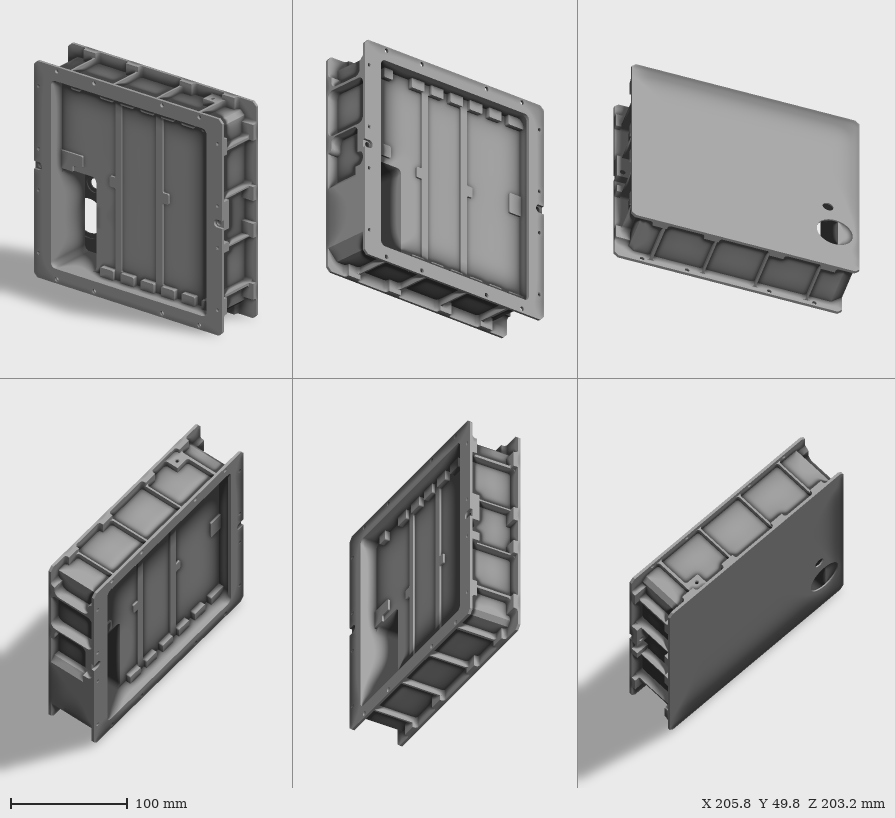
import cadquery as cq

WIDTH = 205.77
DEPTH = 49.78
HEIGHT = 203.2
HALF_W = WIDTH / 2
HALF_D = DEPTH / 2
HALF_H = HEIGHT / 2

FLANGE_T = 2.54
FLANGE_CORNER = 3.8
INNER_Y = HALF_D - FLANGE_T
WEB_R = 2.54

CORE_LEFT = -92.3
CORE_RIGHT = 90.0
CORE_HALF_H = 90.6
CORE_RIGHT_CHAMFER = 4.1
LEFT_WALL_BOTTOM_CHAMFER = 10.0
WEB_HALF_H = 96.9
RIGHT_WEB_X = 98.0

TOP_WEBS = [(-71.4, -69.7), (-24.7, -22.9), (22.3, 24.0), (68.9, 71.4)]

TAB_Y = 18.2
TAB_WIDTH = 13.2
TAB_CENTRES_X = [-76.2, -29.7, 28.9, 75.5]

WEB_UPPER = (67.2, 69.6)
WEB_LOWER = (22.4, 23.9)
REAR_TAB_END = 82.0
REAR_TAB_INNER_END = 10.7
BOSS_Y = -18.2
BOSS_DEEP_Y = -15.7
BOSS_TOP = 82.5
MID_BOSS_BOTTOM = -2.9
LOWER_STEP_Z = -15.7
LOWER_STEP_Y = -12.6
POCKET_R = 5.6

LEDGE_Z = -19.6
LEDGE_CHAMFER = 5.1

OPENING_X = (-84.3, 85.8)
OPENING_HALF_H = 88.1
OPENING_R = 4.8
CAVITY_RIGHT_R = 7.62
CAVITY_DEPTH = 15.75
OPENING_LIP = 3.3
CAVITY_UNDERCUT = 3.2
FLOOR_Y = -HALF_D + CAVITY_DEPTH

RAISED_H = 2.0
PAD_R = 1.2
LEFT_BAR_X = (-24.7, -18.2)
RIGHT_BAR_X = (19.7, 27.0)
LEFT_BAR_BLOCK = 0
RIGHT_BAR_BLOCK = 2
BUMP_Z = (-2.1, 7.7)
BUMP_LENGTH = 6.2
RIGHT_PAD_X = (75.8, CORE_RIGHT)
RIGHT_PAD_Z = (-2.1, 16.5)
LEFT_PAD_X = -60.8
LEFT_PAD_STEP_X = -71.5
LEFT_PAD_Z = (6.2, 17.3)

BLOCK_H = 5.08
BLOCK_Z = (79.1, CORE_HALF_H)
BLOCK_FIRST_X = -39.1
BLOCK_PITCH = 22.22
BLOCK_WIDTH = 14.2
BLOCK_COUNT = 6
EXTRA_BLOCK_X = (-70.5, -60.8)

BAY_RIGHT = -47.1
BAY_TOP = 0.5
PORT_X, PORT_Z = -80.5, -55.8
PORT_D, PORT_SEAT_D = 32.4, 40.64
SMALL_PORT_X, SMALL_PORT_Z = -74.4, -23.8
SMALL_PORT_D, SMALL_PORT_SEAT_D = 9.65, 16.26
SEAT_DEPTH = FLANGE_T / 2

END_HOLE_D = 4.12
END_HOLE_XS = (37.1, 77.9)
END_HOLE_Z = 97.7
SIDE_HOLE_D = 2.77
SIDE_HOLE_MOUTH_D = 3.42
SIDE_HOLE_MOUTH_DEPTH = 0.5
SIDE_HOLE_DEPTH = 6.35
SIDE_HOLE_X = 97.8
SIDE_HOLE_ZS = (19.6, 78.1)
SLOT_Z = 3.2
SLOT_W = 7.4
SLOT_X = 97.6
SLOT_HOLE_D = 5.16

TOP_BLOCK_X = (55.1, 69.7)
TOP_BLOCK_Y = 9.3
TOP_HOLE_X, TOP_HOLE_Y = 61.2, 14.6
TOP_HOLE_DEPTH = 6.35
TOP_HOLE_MOUTH_D = 4.17


def box(x, y, z):
    """Box given by its (low, high) limits along each axis."""
    size = [high - low for low, high in (x, y, z)]
    return cq.Workplane("XY").box(*size, centered=False).translate((x[0], y[0], z[0]))


def mirror_z(body):
    """The body together with its mirror image below the middle plane."""
    return body.union(body.mirror("XY"))


def drill(diameter, x, z, y_front, y_back):
    """Round cutter along Y."""
    return (
        cq.Workplane("XZ", origin=(x, y_front, z))
        .circle(diameter / 2)
        .extrude(y_front - y_back)
    )


def flange(y_front):
    plate = box((-HALF_W, HALF_W), (y_front, y_front + FLANGE_T), (-HALF_H, HALF_H))
    return plate.edges("|Y").chamfer(FLANGE_CORNER)


def core():
    """Centre block, chamfered along its right side, with the thick left wall."""
    centre = box((CORE_LEFT, CORE_RIGHT), (-INNER_Y, INNER_Y), (-CORE_HALF_H, CORE_HALF_H))
    centre = centre.edges("|Y and >X").chamfer(CORE_RIGHT_CHAMFER)
    wall = box((-HALF_W, CORE_LEFT), (-INNER_Y, INNER_Y), (-CORE_HALF_H, CORE_HALF_H))
    wall = wall.edges("|Y and <X and <Z").chamfer(LEFT_WALL_BOTTOM_CHAMFER)
    return centre.union(wall)


def end_recess_body():
    """Webs, rear tabs and their fillets in the recess above the core."""
    start = CORE_HALF_H
    body = None
    for low, high in TOP_WEBS:
        web = box((low, high), (-INNER_Y, INNER_Y), (start, WEB_HALF_H))
        body = web if body is None else body.union(web)
        for corner_x, away in ((low, -1), (high, 1)):
            body = body.union(corner_fillet(corner_x, -INNER_Y, away, 1, WEB_HALF_H))
    for centre in TAB_CENTRES_X:
        low = centre - TAB_WIDTH / 2
        high = centre + TAB_WIDTH / 2
        body = body.union(box((low, high), (TAB_Y, INNER_Y), (start, HALF_H)))
        body = body.union(corner_fillet(low, INNER_Y, -1, -1, HALF_H))
        body = body.union(corner_fillet(high, INNER_Y, 1, -1, HALF_H))
    for (low, high), centre in zip(TOP_WEBS, TAB_CENTRES_X):
        if low - (centre - TAB_WIDTH / 2) > WEB_R:
            body = body.union(corner_fillet(low, TAB_Y, -1, -1, WEB_HALF_H))
        if centre + TAB_WIDTH / 2 - high > WEB_R:
            body = body.union(corner_fillet(high, TAB_Y, 1, -1, WEB_HALF_H))
    return body


def corner_fillet(x, y, x_sign, y_sign, top):
    """Concave vertical fillet filling the corner at (x, y), from the core up to top."""
    block_x = sorted((x, x + x_sign * WEB_R))
    block_y = sorted((y, y + y_sign * WEB_R))
    block = box(block_x, block_y, (CORE_HALF_H, top))
    cutter = (
        cq.Workplane("XY", origin=(x + x_sign * WEB_R, y + y_sign * WEB_R, CORE_HALF_H))
        .circle(WEB_R)
        .extrude(top - CORE_HALF_H)
    )
    return block.cut(cutter)


def top_hole_block():
    block = box(TOP_BLOCK_X, (TOP_BLOCK_Y, INNER_Y), (CORE_HALF_H, WEB_HALF_H))
    right_web_face = TOP_WEBS[-1][0]
    block = block.union(corner_fillet(right_web_face, TOP_BLOCK_Y, -1, -1, WEB_HALF_H))
    return block.union(corner_fillet(TOP_BLOCK_X[0], INNER_Y, -1, -1, WEB_HALF_H))


def top_hole():
    hole = (
        cq.Workplane("XY", origin=(TOP_HOLE_X, TOP_HOLE_Y, WEB_HALF_H))
        .circle(SIDE_HOLE_D / 2)
        .extrude(-TOP_HOLE_DEPTH)
    )
    mouth_depth = (TOP_HOLE_MOUTH_D - SIDE_HOLE_D) / 2
    mouth = (
        cq.Workplane("XY", origin=(TOP_HOLE_X, TOP_HOLE_Y, WEB_HALF_H))
        .circle(TOP_HOLE_MOUTH_D / 2)
        .workplane(offset=-mouth_depth)
        .circle(SIDE_HOLE_D / 2)
        .loft()
    )
    return hole.union(mouth)


def left_pocket(y, z):
    """Rectangular cutter, rounded in its corners, from the left side to the core."""
    return box((-HALF_W, CORE_LEFT), y, z).edges("|X").fillet(POCKET_R)


def left_upper_pocket():
    """Pocket open at the top, narrowed by the rear tab and the front boss."""
    narrow = left_pocket((BOSS_Y, TAB_Y), (WEB_UPPER[1], HALF_H))
    tab_step = INNER_Y - TAB_Y
    mouth = (
        cq.Workplane("YZ", origin=(-HALF_W, 0, 0))
        .moveTo(-INNER_Y, HALF_H)
        .lineTo(-INNER_Y, BOSS_TOP + INNER_Y + BOSS_Y)
        .lineTo(BOSS_Y, BOSS_TOP)
        .lineTo(TAB_Y, BOSS_TOP)
        .lineTo(TAB_Y, REAR_TAB_END - tab_step / 2)
        .radiusArc((INNER_Y, REAR_TAB_END + tab_step / 2), -tab_step)
        .lineTo(INNER_Y, HALF_H)
        .close()
        .extrude(CORE_LEFT + HALF_W)
    )
    return narrow.union(mouth)


def left_lower_pocket():
    """Pocket round the middle boss, ending below in a ledge with a sloping front."""
    upper = left_pocket((BOSS_DEEP_Y, TAB_Y), (LEDGE_Z, WEB_LOWER[0]))
    upper = upper.intersect(box((-HALF_W, CORE_LEFT), (-INNER_Y, INNER_Y), (LOWER_STEP_Z, HALF_H)))
    bulge = left_pocket((-INNER_Y, TAB_Y), (LOWER_STEP_Z, MID_BOSS_BOTTOM))
    tab_step = INNER_Y - TAB_Y
    rear = (
        cq.Workplane("YZ", origin=(-HALF_W, 0, 0))
        .moveTo(LOWER_STEP_Y, LEDGE_Z)
        .lineTo(INNER_Y, LEDGE_Z)
        .lineTo(INNER_Y, REAR_TAB_INNER_END - tab_step / 2)
        .radiusArc((TAB_Y, REAR_TAB_INNER_END + tab_step / 2), tab_step)
        .lineTo(LOWER_STEP_Y, REAR_TAB_INNER_END + tab_step / 2)
        .close()
        .extrude(CORE_LEFT + HALF_W)
    )
    slope = (
        cq.Workplane("XZ", origin=(0, INNER_Y, 0))
        .moveTo(-HALF_W, LEDGE_Z)
        .lineTo(-HALF_W + LEDGE_CHAMFER, LEDGE_Z)
        .lineTo(-HALF_W, LEDGE_Z - LEDGE_CHAMFER)
        .close()
        .extrude(INNER_Y - LOWER_STEP_Y)
    )
    return upper.union(bulge).union(rear).union(slope)


def left_pockets():
    middle = left_pocket((-INNER_Y, INNER_Y), (WEB_LOWER[1], WEB_UPPER[0]))
    return left_upper_pocket().union(middle).union(left_lower_pocket())


def side_fillet(y, z, y_sign, z_sign, x_end):
    """Concave fillet along X filling the corner at (y, z), from the core out to x_end."""
    block_y = sorted((y, y + y_sign * WEB_R))
    block_z = sorted((z, z + z_sign * WEB_R))
    block = box((CORE_RIGHT, x_end), block_y, block_z)
    cutter = (
        cq.Workplane("YZ", origin=(CORE_RIGHT, y + y_sign * WEB_R, z + z_sign * WEB_R))
        .circle(WEB_R)
        .extrude(x_end - CORE_RIGHT)
    )
    return block.cut(cutter)


def right_side_body():
    """Webs on the right side, with the rear tabs and front bosses next to them."""
    outer = (CORE_RIGHT, HALF_W)
    rear_y = (TAB_Y, INNER_Y)
    body = box(outer, rear_y, (WEB_UPPER[0], REAR_TAB_END))
    body = body.union(box(outer, rear_y, (REAR_TAB_INNER_END, WEB_LOWER[1])))
    body = body.union(box(outer, (-INNER_Y, BOSS_Y), (WEB_UPPER[0], BOSS_TOP)))
    for span in (WEB_UPPER, WEB_LOWER):
        body = body.union(box((CORE_RIGHT, RIGHT_WEB_X), (-INNER_Y, INNER_Y), span))
    body = body.union(side_fillet(INNER_Y, REAR_TAB_END, -1, 1, HALF_W))
    body = body.union(side_fillet(-INNER_Y, BOSS_TOP, 1, 1, HALF_W))
    body = body.union(side_fillet(TAB_Y, WEB_UPPER[1], -1, 1, RIGHT_WEB_X))
    body = body.union(side_fillet(BOSS_Y, WEB_UPPER[1], 1, 1, RIGHT_WEB_X))
    for y, inward in ((-INNER_Y, 1), (INNER_Y, -1)):
        body = body.union(side_fillet(y, WEB_UPPER[0], inward, -1, RIGHT_WEB_X))
        body = body.union(side_fillet(y, WEB_LOWER[1], inward, 1, RIGHT_WEB_X))
    front_boss = box(outer, (-INNER_Y, BOSS_DEEP_Y), (-LOWER_STEP_Z, WEB_LOWER[1]))
    body = mirror_z(body.union(front_boss))
    return body.union(box(outer, (-INNER_Y, BOSS_DEEP_Y), (MID_BOSS_BOTTOM, WEB_LOWER[0])))


def cavity():
    """Cutter for the front opening, the main cavity and the deep bay."""
    opening = box(OPENING_X, (-HALF_D, FLOOR_Y), (-OPENING_HALF_H, OPENING_HALF_H))
    opening = opening.edges("|Y").fillet(OPENING_R)
    main = box(
        (OPENING_X[0], OPENING_X[1] + CAVITY_UNDERCUT),
        (-HALF_D + OPENING_LIP, FLOOR_Y),
        (-OPENING_HALF_H, OPENING_HALF_H),
    )
    main = main.edges("|Y and <X").fillet(OPENING_R).edges("|Y and >X").fillet(CAVITY_RIGHT_R)
    bay = box((OPENING_X[0], BAY_RIGHT), (-INNER_Y, INNER_Y), (-OPENING_HALF_H, BAY_TOP))
    bay = bay.edges("|Y").fillet(OPENING_R)
    return opening.union(main).union(bay)


def floor_pad(x, z, height):
    """Raised rectangle on the cavity floor with small rounded corners."""
    return box(x, (FLOOR_Y - height, FLOOR_Y), z).edges("|Y").fillet(PAD_R)


def wall_blocks():
    """Row of blocks against the top wall of the cavity."""
    last_end = OPENING_X[1] + CAVITY_UNDERCUT + PAD_R
    row = None
    for index in range(BLOCK_COUNT):
        left = BLOCK_FIRST_X + index * BLOCK_PITCH
        is_last = index == BLOCK_COUNT - 1
        right = last_end if is_last else left + BLOCK_WIDTH
        block = floor_pad((left, right), BLOCK_Z, BLOCK_H)
        row = block if row is None else row.union(block)
    return row


def bar(x, bump_x, first_block):
    """Raised bar with a side bump and a foot at each end under two neighbouring blocks."""
    raised_y = (FLOOR_Y - RAISED_H, FLOOR_Y)
    foot_left = BLOCK_FIRST_X + first_block * BLOCK_PITCH
    foot = box((foot_left, foot_left + BLOCK_PITCH + BLOCK_WIDTH), raised_y, BLOCK_Z)
    shape = mirror_z(foot)
    shape = shape.union(box(x, raised_y, (-CORE_HALF_H, CORE_HALF_H)))
    shape = shape.union(box(bump_x, raised_y, BUMP_Z))
    return shape.edges("|Y").fillet(PAD_R)


def left_pad():
    """Stepped pad between the left wall and the top of the deep bay."""
    raised_y = (FLOOR_Y - RAISED_H, FLOOR_Y)
    pad = box((CORE_LEFT, LEFT_PAD_X), raised_y, LEFT_PAD_Z)
    pad = pad.union(box((CORE_LEFT, LEFT_PAD_STEP_X), raised_y, (BAY_TOP, LEFT_PAD_Z[1])))
    return pad.edges("|Y and (not <Z)").fillet(PAD_R)


def floor_details():
    """Bars, pads and blocks standing on the cavity floor."""
    details = mirror_z(wall_blocks())
    details = details.union(floor_pad(EXTRA_BLOCK_X, BLOCK_Z, BLOCK_H))
    left_low, left_high = LEFT_BAR_X
    right_low, right_high = RIGHT_BAR_X
    details = details.union(bar(LEFT_BAR_X, (left_low - BUMP_LENGTH, left_high), LEFT_BAR_BLOCK))
    details = details.union(bar(RIGHT_BAR_X, (right_low, right_high + BUMP_LENGTH), RIGHT_BAR_BLOCK))
    details = details.union(floor_pad(RIGHT_PAD_X, RIGHT_PAD_Z, RAISED_H))
    return details.union(left_pad())


def bay_ports():
    ports = drill(PORT_D, PORT_X, PORT_Z, INNER_Y, HALF_D)
    ports = ports.union(drill(PORT_SEAT_D, PORT_X, PORT_Z, INNER_Y, INNER_Y + SEAT_DEPTH))
    ports = ports.union(drill(SMALL_PORT_D, SMALL_PORT_X, SMALL_PORT_Z, INNER_Y, HALF_D))
    seat = drill(SMALL_PORT_SEAT_D, SMALL_PORT_X, SMALL_PORT_Z, INNER_Y, INNER_Y + SEAT_DEPTH)
    return ports.union(seat)


def side_hole(x, z):
    hole = drill(SIDE_HOLE_D, x, z, -HALF_D, -HALF_D + SIDE_HOLE_DEPTH)
    mouth = drill(SIDE_HOLE_MOUTH_D, x, z, -HALF_D, -HALF_D + SIDE_HOLE_MOUTH_DEPTH)
    return hole.union(mouth)


def locating_slot(side):
    """Slot open to the left (-1) or right (+1) edge, with a hole in its floor."""
    x = side * SLOT_X
    slot = drill(SLOT_W, x, SLOT_Z, -HALF_D, -INNER_Y)
    slot = slot.union(
        box(
            sorted((x, side * HALF_W)),
            (-HALF_D, -INNER_Y),
            (SLOT_Z - SLOT_W / 2, SLOT_Z + SLOT_W / 2),
        )
    )
    return slot.union(drill(SLOT_HOLE_D, x, SLOT_Z, -INNER_Y, BOSS_DEEP_Y))


def front_holes(body):
    for side in (-1, 1):
        for level in (-1, 1):
            for x in END_HOLE_XS:
                body = body.cut(drill(END_HOLE_D, side * x, level * END_HOLE_Z, -HALF_D, -INNER_Y))
            for z in SIDE_HOLE_ZS:
                body = body.cut(side_hole(side * SIDE_HOLE_X, level * z))
        body = body.cut(locating_slot(side))
    return body


def housing():
    body = core().cut(left_pockets())
    body = body.union(flange(-HALF_D)).union(flange(INNER_Y))
    body = body.union(mirror_z(end_recess_body())).union(top_hole_block())
    body = body.union(right_side_body())
    hollow = cavity()
    body = body.cut(hollow)
    body = body.union(floor_details().intersect(hollow))
    body = body.cut(bay_ports()).cut(top_hole())
    return front_holes(body)


result = housing()